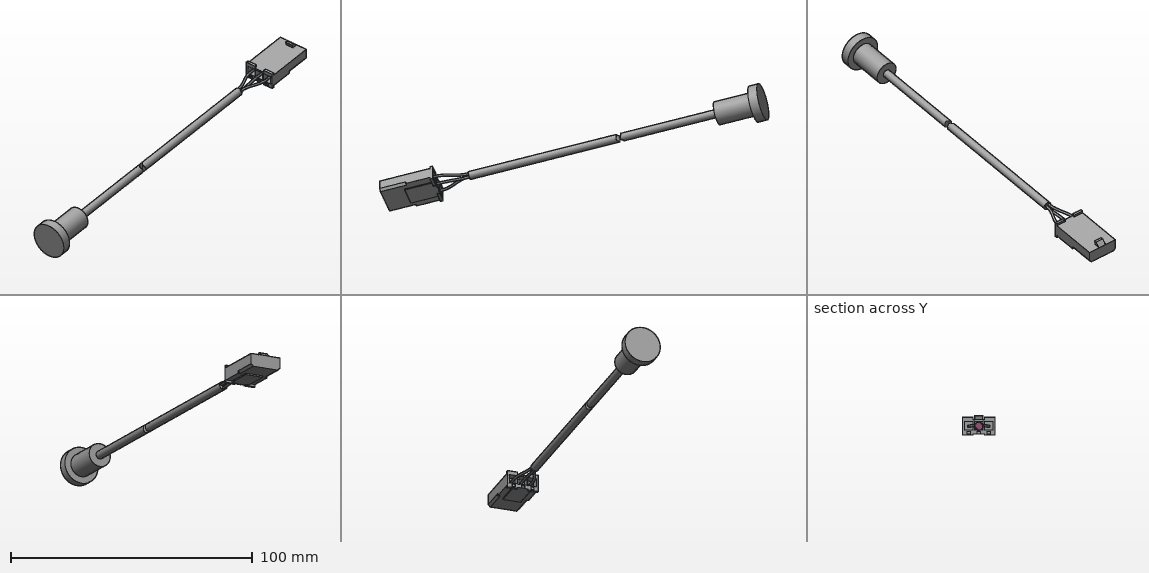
import cadquery as cq
import math

TOTAL_LENGTH = 165.4

CAP_DIAMETER = 15.5
CAP_THICKNESS = 4.0
BARREL_DIAMETER = 10.0
BARREL_END = 20.0

CABLE_DIAMETER = 3.5
CABLE_END = 128.4
LOWER_BREAK = 61.5
UPPER_BREAK = 63.3
BREAK_WAVE = 0.5

HOUSING_START = 142.2
HOUSING_WIDTH = 13.5
HOUSING_HEIGHT = 5.5
EDGE_CHAMFER = 1.0
CHAMFER_START = 154.0

LIP_THICKNESS = 1.2
LIP_HEIGHT = 1.0
LIP_GAP = 4.6

RIB_WIDTH = 8.0
RIB_END = 155.5
RIB_BOTTOM = -3.3

STUD_WIDTH = 1.3
STUD_LENGTH = 0.3
STUD_TOP = -2.2

LATCH_WIDTH = 3.5
LATCH_HEIGHT = 1.7
LATCH_BACK = 162.3
LATCH_CREST = 163.2
LATCH_UNDERCUT = 0.5

WIRE_COUNT = 3
WIRE_DIAMETER = 1.03
WIRE_PITCH = 4.1
CAVITY_WIDTH = 3.6
CAVITY_BOTTOM = -1.7
CAVITY_TOP = 2.0
CAVITY_DEPTH = 3.3
BUNDLE_RADIUS = 0.8
FIRST_WIRE_ANGLE = 150.0

wire_offsets = [(i - (WIRE_COUNT - 1) / 2) * WIRE_PITCH for i in range(WIRE_COUNT)]


def block(width, y_start, y_end, z_bottom, z_top, x_center=0):
    """A box centred on x_center and given by its Y and Z limits."""
    return (
        cq.Workplane("XY")
        .box(width, y_end - y_start, z_top - z_bottom, centered=(True, False, False))
        .translate((x_center, y_start, z_bottom))
    )


def rod(diameter, y_start, y_end):
    """A round bar along Y on the main axis."""
    length = y_end - y_start
    return cq.Workplane("XZ", origin=(0, y_start, 0)).circle(diameter / 2).extrude(-length)


def below_break(y_break):
    """A slab that reaches from Y = 0 up to a wavy surface around y_break."""
    half = CABLE_DIAMETER / 2
    return (
        cq.Workplane("XY", origin=(0, 0, -half))
        .moveTo(-half, 0)
        .lineTo(-half, y_break)
        .threePointArc((-half / 2, y_break + BREAK_WAVE), (0, y_break))
        .threePointArc((half / 2, y_break - BREAK_WAVE), (half, y_break))
        .lineTo(half, 0)
        .close()
        .extrude(CABLE_DIAMETER)
    )


def make_sensor():
    """Sensor head with the moulded-on stub of cable up to the break."""
    cap = rod(CAP_DIAMETER, 0, CAP_THICKNESS)
    barrel = rod(BARREL_DIAMETER, 0, BARREL_END)
    stub = rod(CABLE_DIAMETER, 0, UPPER_BREAK).intersect(below_break(LOWER_BREAK))
    return cap.union(barrel).union(stub)


def make_cable():
    """Cable from the break to the end where the wires come out."""
    return rod(CABLE_DIAMETER, LOWER_BREAK, CABLE_END).cut(below_break(UPPER_BREAK))


def make_latch():
    """Hook with a ramp at the plug end and an undercut back."""
    base = HOUSING_HEIGHT / 2
    crest = base + LATCH_HEIGHT
    return (
        cq.Workplane("YZ", origin=(-LATCH_WIDTH / 2, 0, 0))
        .moveTo(TOTAL_LENGTH, base)
        .lineTo(LATCH_CREST, crest)
        .lineTo(LATCH_BACK, crest)
        .lineTo(LATCH_BACK + LATCH_UNDERCUT, base)
        .close()
        .extrude(LATCH_WIDTH)
    )


def make_lips():
    """Collar pieces above and below the housing, left and right of the gap."""
    lip_width = (HOUSING_WIDTH - LIP_GAP) / 2
    lip_center = (LIP_GAP + lip_width) / 2
    reach = HOUSING_HEIGHT / 2 + LIP_HEIGHT
    lip_end = HOUSING_START + LIP_THICKNESS
    left = block(lip_width, HOUSING_START, lip_end, -reach, reach, -lip_center)
    return left.union(left.mirror("YZ"))


def make_edge_cut(side):
    """Prism that chamfers the lower edge on one side (-1 or 1) near the plug end."""
    edge_x = side * HOUSING_WIDTH / 2
    bottom = -HOUSING_HEIGHT / 2
    return (
        cq.Workplane("XZ", origin=(0, CHAMFER_START, 0))
        .moveTo(edge_x, bottom)
        .lineTo(edge_x, bottom + EDGE_CHAMFER)
        .lineTo(edge_x - side * EDGE_CHAMFER, bottom)
        .close()
        .extrude(CHAMFER_START - TOTAL_LENGTH)
    )


def make_stud(x):
    """Stud that stands out below the cavity at x, rooted in the wall of the housing and its rib."""
    root = HOUSING_START + LIP_THICKNESS
    return block(STUD_WIDTH, HOUSING_START - STUD_LENGTH, root, RIB_BOTTOM, STUD_TOP, x)


def make_cavity(x):
    """Blind pocket that takes the wire at x."""
    cavity_end = HOUSING_START + CAVITY_DEPTH
    return block(CAVITY_WIDTH, HOUSING_START, cavity_end, CAVITY_BOTTOM, CAVITY_TOP, x)


def make_housing():
    """Connector housing with its collar lips, latch, rib, studs and wire cavities."""
    half_height = HOUSING_HEIGHT / 2
    housing = block(HOUSING_WIDTH, HOUSING_START, TOTAL_LENGTH, -half_height, half_height)
    for side in (-1, 1):
        housing = housing.cut(make_edge_cut(side))
    housing = housing.union(make_lips()).union(make_latch())
    housing = housing.union(block(RIB_WIDTH, HOUSING_START, RIB_END, RIB_BOTTOM, 0))
    for x in wire_offsets:
        housing = housing.union(make_stud(x)).cut(make_cavity(x))
    return housing


def make_wire(index):
    """One wire, curving from its place at the cable end to the back of its cavity."""
    angle = math.radians(FIRST_WIRE_ANGLE + 360 / WIRE_COUNT * index)
    start = cq.Vector(BUNDLE_RADIUS * math.cos(angle), CABLE_END, BUNDLE_RADIUS * math.sin(angle))
    mouth = cq.Vector(wire_offsets[index], HOUSING_START, 0)
    seat = mouth + cq.Vector(0, CAVITY_DEPTH, 0)
    along = cq.Vector(0, 1, 0)
    bend = cq.Edge.makeSpline([start, mouth], tangents=[along, along])
    path = cq.Wire.assembleEdges([bend, cq.Edge.makeLine(mouth, seat)])
    profile = cq.Workplane("XZ", origin=start.toTuple()).circle(WIRE_DIAMETER / 2)
    return profile.sweep(cq.Workplane(path))


sensor = make_sensor()
cable = make_cable()
housing = make_housing()
wires = [make_wire(i) for i in range(WIRE_COUNT)]

result = cq.Compound.makeCompound(
    [sensor.val(), cable.val(), housing.val(), *[wire.val() for wire in wires]]
)